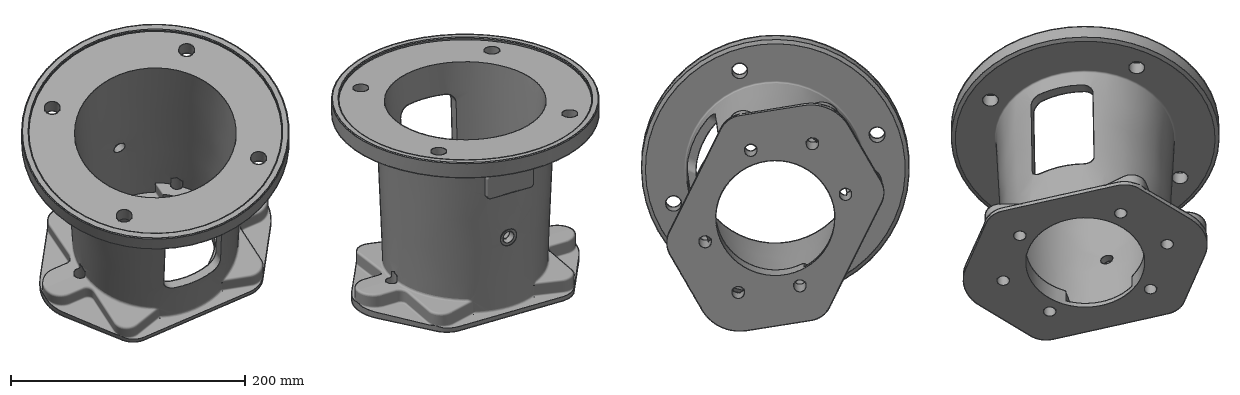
import cadquery as cq
import math

total_height = 176.21
edge_break = 0.8

flange_radius = 114.3
flange_thickness = 16.2
flange_bottom = total_height - flange_thickness
flange_back_chamfer_height = 1.5
flange_back_chamfer_width = 3.4
recess_radius = 107.95
recess_depth = 2.4
motor_bolt_circle = 184.15
motor_hole_diameter = 13.5

body_top_radius = 76.3
body_taper = 2.3
wall_thickness = 7.8
taper_slope = math.tan(math.radians(body_taper))
flange_root_fillet = 1.5

casting_draft = 1.6
plate_thickness = 6.3
plate_half_width = 76.0
plate_corner_y = 62.0
plate_end_slope = 35.0
plate_corner_radius = 21.0
plate_end_radius = 37.0
pilot_bore_radius = 50.8

pad_height = 19.1
pad_front = 71.3
pad_max_half_width = 71.4
pad_side_slope = 16.5
pad_corner_radius = 12.8
pad_inner_edge = 29.5
ear_radius = 16.0
ear_end = 107.0
ear_root_radius = 6.5
pad_edge_fillet = 2.0
pad_root_fillet = 1.4
body_root_fillet = 1.8
inner_fillet = 1.4

pump_hole_diameter = 10.6
pump_hole_depth = 25.0
drill_point_angle = 118.0
four_bolt_circle = 127.0
two_bolt_circle = 146.0

window_width = 55.0
window_bottom = 46.0
window_top = 143.8
window_corner_radius = 9.0

name_plate_width = 46.0
name_plate_bottom = 119.5
name_plate_top = 142.0
name_plate_face_x = -76.3
name_plate_corner_radius = 3.5
name_plate_edge_fillet = 1.3
plug_hole_z = 75.0
plug_hole_radius = 5.4
plug_spotface_radius = 8.0
plug_spotface_depth = 0.8

touch = 0.1
fine_touch = 0.01


def body_radius(z):
    """Outer radius of the tapered body at height z."""
    return body_top_radius - (flange_bottom - z) * taper_slope


def revolve_profile(points):
    """Revolve an (r, z) profile about Z, starting on the -Y side."""
    profile = cq.Workplane("YZ").polyline([(-r, z) for r, z in points]).close()
    return profile.revolve(360, (0, 0), (0, 1))


def box_between(x0, x1, y0, y1, z0, z1):
    """Box spanning two opposite corners."""
    return cq.Workplane("XY").box(x1 - x0, y1 - y0, z1 - z0, centered=False).translate((x0, y0, z0))


def gable_block(height, half_x, y0, y1):
    """Block on Z = 0 with the given height at X = 0 and drafted upper faces."""
    eaves = height - half_x * math.tan(math.radians(casting_draft))
    profile = cq.Workplane("XZ").polyline([
        (-half_x, 0),
        (half_x, 0),
        (half_x, eaves),
        (0, height),
        (-half_x, eaves),
    ])
    return profile.close().extrude(y0 - y1).translate((0, y0, 0))


def fillet_edges(solid, radius, wanted):
    """Fillet the edges of a solid for which wanted(edge) is true."""
    return solid.newObject([e for e in solid.edges().vals() if wanted(e)]).fillet(radius)


def make_tube():
    """Solid tapered body reaching the back of the motor flange."""
    return revolve_profile([
        (0, 0),
        (body_radius(0), 0),
        (body_top_radius, flange_bottom),
        (0, flange_bottom),
    ])


def make_motor_flange():
    """Round motor flange with a bevelled back edge."""
    return revolve_profile([
        (0, flange_bottom),
        (flange_radius - flange_back_chamfer_width, flange_bottom),
        (flange_radius, flange_bottom + flange_back_chamfer_height),
        (flange_radius, total_height - edge_break),
        (flange_radius - edge_break, total_height),
        (0, total_height),
    ])


def make_plate_outline():
    """Six-sided pump plate prism with rounded corners and rounded ends."""
    apex_y = plate_corner_y + plate_half_width * math.tan(math.radians(plate_end_slope))
    prism = (
        cq.Workplane("XY")
        .polyline([
            (plate_half_width, -plate_corner_y),
            (plate_half_width, plate_corner_y),
            (0, apex_y),
            (-plate_half_width, plate_corner_y),
            (-plate_half_width, -plate_corner_y),
            (0, -apex_y),
        ])
        .close()
        .extrude(flange_bottom)
    )
    prism = prism.edges("|Z").edges(">X or <X").fillet(plate_corner_radius)
    return prism.edges("|Z").edges(">Y or <Y").fillet(plate_end_radius)


def make_end_pad():
    """Raised pad at the +Y end: two wedges joined by a central ear."""
    slope = math.radians(pad_side_slope)
    corner_x = pad_max_half_width - pad_corner_radius
    corner_y = pad_front - pad_corner_radius
    tangent_x = corner_x + pad_corner_radius * math.cos(slope)
    tangent_y = corner_y - pad_corner_radius * math.sin(slope)

    def side_x(y):
        return tangent_x + (y - tangent_y) * math.tan(slope)

    ear_centre = ear_end - ear_radius
    wedges = (
        cq.Workplane("XY")
        .polyline([
            (-side_x(0), 0),
            (side_x(0), 0),
            (side_x(pad_front), pad_front),
            (-side_x(pad_front), pad_front),
        ])
        .close()
        .extrude(pad_height)
        .edges("|Z and >Y")
        .fillet(pad_corner_radius)
    )
    ear = (
        cq.Workplane("XY")
        .moveTo(-ear_radius, 0)
        .lineTo(-ear_radius, ear_centre)
        .threePointArc((0, ear_end), (ear_radius, ear_centre))
        .lineTo(ear_radius, 0)
        .close()
        .extrude(pad_height)
    )

    def is_ear_root(edge):
        centre = edge.Center()
        is_vertical = edge.BoundingBox().zlen > pad_height / 2
        beside_ear = abs(abs(centre.x) - ear_radius) < touch
        return is_vertical and beside_ear and abs(centre.y - pad_front) < touch

    def is_top_rim(edge):
        box = edge.BoundingBox()
        near_top = edge.Center().z > pad_height / 2 and box.zlen < pad_height / 4
        return near_top and box.ymax > touch and box.xlen > touch

    pad = fillet_edges(wedges.union(ear), ear_root_radius, is_ear_root)
    pad = pad.intersect(gable_block(pad_height, flange_radius, 0, flange_radius))
    return fillet_edges(pad, pad_edge_fillet, is_top_rim)


def make_pump_flange():
    """Plate and both pads, blended together and trimmed to the plate outline."""
    slab_half_length = 2 * flange_radius

    def is_pad_root(edge):
        box = edge.BoundingBox()
        centre = edge.Center()
        inside = abs(centre.x) < flange_radius - 1 and abs(centre.y) < slab_half_length - 1
        at_plate_top = box.zmin > 1 and box.zmax < plate_thickness + touch
        return inside and at_plate_top and box.xlen > touch

    slab = gable_block(plate_thickness, flange_radius, -slab_half_length, slab_half_length)
    end_pad = make_end_pad()
    pump_flange = slab.union(end_pad).union(end_pad.mirror("XZ"))
    pump_flange = fillet_edges(pump_flange, pad_root_fillet, is_pad_root)
    return pump_flange.intersect(make_plate_outline())


def make_interior():
    """Tapered inside of the body, leaving the pump pads and plate standing."""
    cavity = revolve_profile([
        (0, 0),
        (body_radius(0) - wall_thickness, 0),
        (body_radius(total_height) - wall_thickness, total_height),
        (0, total_height),
    ])
    cavity = cavity.cut(gable_block(plate_thickness, flange_radius, -flange_radius, flange_radius))
    cavity = cavity.cut(gable_block(pad_height, flange_radius, pad_inner_edge, flange_radius))
    cavity = cavity.cut(gable_block(pad_height, flange_radius, -flange_radius, -pad_inner_edge))

    def is_step_edge(edge):
        box = edge.BoundingBox()
        return box.ylen < fine_touch and box.xlen > 1 and box.zmax < pad_height + 1

    cavity = fillet_edges(cavity, inner_fillet, is_step_edge)
    pilot_bore = cq.Workplane("XY").circle(pilot_bore_radius).extrude(total_height)
    return cavity.union(pilot_bore)


def make_flange_recess():
    """Shallow locating recess in the motor face with a chamfered mouth."""
    floor = total_height - recess_depth
    return revolve_profile([
        (0, floor),
        (recess_radius, floor),
        (recess_radius, total_height - edge_break),
        (recess_radius + edge_break, total_height),
        (0, total_height),
    ])


def make_motor_holes():
    """Four plain holes through the motor flange."""
    return (
        cq.Workplane("XY", origin=(0, 0, flange_bottom))
        .polarArray(motor_bolt_circle / 2, 45, 360, 4)
        .circle(motor_hole_diameter / 2)
        .extrude(flange_thickness)
    )


def make_pump_holes():
    """Blind drilled holes: four on the diagonals, two on the Y axis."""
    radius = pump_hole_diameter / 2
    tip = pump_hole_depth + radius / math.tan(math.radians(drill_point_angle / 2))
    drill = revolve_profile([(0, 0), (radius, 0), (radius, pump_hole_depth), (0, tip)])
    holes = cq.Workplane("XY")
    for circle, angles in ((four_bolt_circle, (45, 135, 225, 315)), (two_bolt_circle, (90, 270))):
        for angle in angles:
            a = math.radians(angle)
            holes = holes.add(drill.translate((circle / 2 * math.cos(a), circle / 2 * math.sin(a), 0)))
    return holes.combine()


def make_window():
    """Rounded rectangular access opening through the +X wall."""
    return box_between(
        0, flange_radius, -window_width / 2, window_width / 2, window_bottom, window_top
    ).edges("|X").fillet(window_corner_radius)


def make_name_plate():
    """Flat-faced raised plate on the -X wall."""
    plate = box_between(
        name_plate_face_x,
        -body_top_radius + 2 * wall_thickness,
        -name_plate_width / 2,
        name_plate_width / 2,
        name_plate_bottom,
        name_plate_top,
    )
    plate = plate.edges("|X").fillet(name_plate_corner_radius)
    return plate.faces("<X").edges().fillet(name_plate_edge_fillet)


def make_plug_hole():
    """Radial hole through the -X wall with a shallow spotface."""
    outside = cq.Workplane("YZ", origin=(-flange_radius, 0, plug_hole_z))
    hole = outside.circle(plug_hole_radius).extrude(flange_radius)
    face_x = body_radius(plug_hole_z) - plug_spotface_depth
    spotface = outside.circle(plug_spotface_radius).extrude(flange_radius - face_x)
    return hole.union(spotface)


def make_casting():
    """Outer solid: pump flange, tapered body and motor flange with root fillets."""
    def is_flange_root(edge):
        box = edge.BoundingBox()
        at_flange_back = box.zlen < fine_touch and abs(box.zmin - flange_bottom) < fine_touch
        return at_flange_back and box.xmax < body_top_radius + 1

    def is_body_root(edge):
        box = edge.BoundingBox()
        points = [edge.positionAt(t) for t in (0.1, 0.5, 0.9)]
        on_body = all(abs(math.hypot(p.x, p.y) - body_radius(p.z)) < fine_touch for p in points)
        return on_body and box.zmin > 1 and box.zmax < pad_height + 1

    upper = make_tube().union(make_motor_flange())
    upper = fillet_edges(upper, flange_root_fillet, is_flange_root)
    casting = make_pump_flange().union(upper)
    return fillet_edges(casting, body_root_fillet, is_body_root)


result = make_casting().union(make_name_plate())
result = result.cut(make_interior()).cut(make_flange_recess()).cut(make_motor_holes())
result = result.cut(make_pump_holes()).cut(make_window()).cut(make_plug_hole())